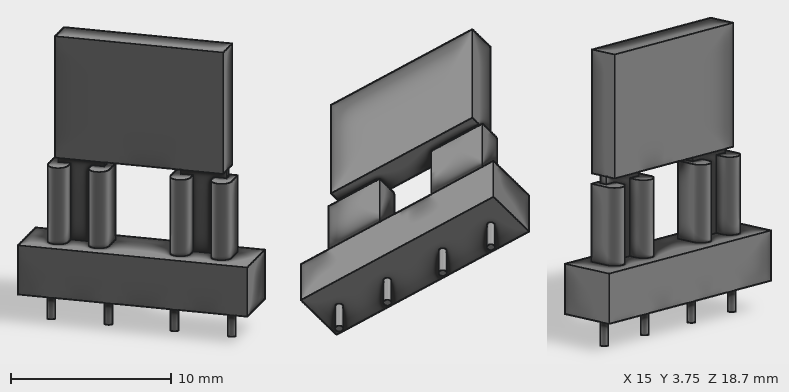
import cadquery as cq

base_length = 15.0
base_depth = 3.75
base_height = 3.25

pin_diameter = 0.5
pin_length = 1.99
inner_pin_x = 2.15
outer_pin_x = 5.9

fuse_width = 11.0
fuse_thickness = 1.91
fuse_height = 7.99
fuse_y = 0.45
blade_width = 3.0
blade_thickness = 0.5
blade_gap = 0.5
blade_x = (fuse_width - blade_width) / 2

clip_width = 4.0
clip_depth = 2.0
clip_height = 5.02
post_width = 1.31
post_radius = post_width / 2
clip_back_y = clip_depth / 2
post_round_y = post_radius - clip_depth / 2

clip_top_z = base_height + clip_height
fuse_bottom_z = clip_top_z + blade_gap
blade_height = clip_height + blade_gap
blade_front_y = fuse_y - blade_thickness / 2

upright = (True, True, False)
sides = (-1, 1)


def make_base():
    return cq.Workplane("XY").box(base_length, base_depth, base_height, centered=upright)


def make_pin(x):
    return cq.Workplane("XY").center(x, 0).circle(pin_diameter / 2).extrude(-pin_length)


def make_fuse_body():
    plane = cq.Workplane("XY", origin=(0, fuse_y, fuse_bottom_z))
    return plane.box(fuse_width, fuse_thickness, fuse_height, centered=upright)


def make_blade(x):
    plane = cq.Workplane("XY", origin=(x, fuse_y, base_height))
    return plane.box(blade_width, blade_thickness, blade_height, centered=upright)


def make_clip(x):
    """U-shaped clip with round-fronted posts and a slot that the blade fills."""
    half_width = clip_width / 2
    half_gap = half_width - post_width
    post_center = half_width - post_radius
    front_y = -clip_depth / 2
    block = (
        cq.Workplane("XY", origin=(x, 0, base_height))
        .moveTo(-half_width, clip_back_y)
        .lineTo(-half_width, post_round_y)
        .threePointArc((-post_center, front_y), (-half_gap, post_round_y))
        .lineTo(-half_gap, blade_front_y)
        .lineTo(half_gap, blade_front_y)
        .lineTo(half_gap, post_round_y)
        .threePointArc((post_center, front_y), (half_width, post_round_y))
        .lineTo(half_width, clip_back_y)
        .close()
        .extrude(clip_height)
    )
    return block.cut(make_blade(x))


base = make_base()
fuse_body = make_fuse_body()
pins = [make_pin(side * x) for side in sides for x in (inner_pin_x, outer_pin_x)]
blades = [make_blade(side * blade_x) for side in sides]
clips = [make_clip(side * blade_x) for side in sides]

repeated_bodies = [body.val() for body in pins + blades]
clip_solids = [clip.solids().val() for clip in clips]
result = cq.Compound.makeCompound([base.val(), fuse_body.val(), *repeated_bodies, *clip_solids])